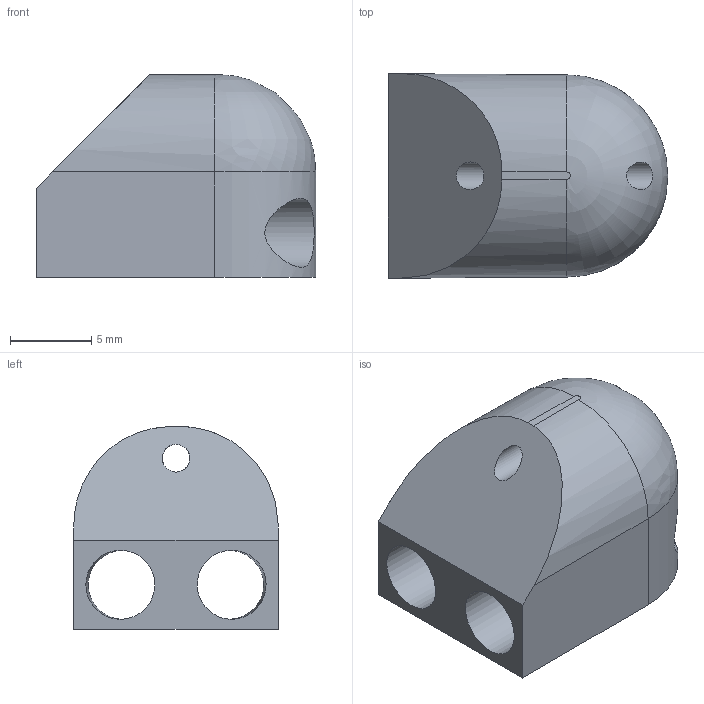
import cadquery as cq

length = 17.23
width = 12.6
height = 12.5

nose_start = 11.0
nose_radius = length - nose_start
top_round_radius = 6.0

rear_wall_height = 5.5

bore_diameter = 4.25
bore_height = 2.75
bore_rear_offset = 3.43
bore_front_offset = 3.25

pin_hole_diameter = 1.7
pin_hole_height = 10.55

overrun = 1.0


def make_body():
    """Block with a round nose and large fillets along its top edge."""
    plan = (
        cq.Workplane("XY")
        .moveTo(0, -width / 2)
        .lineTo(nose_start, -nose_radius)
        .threePointArc((length, 0), (nose_start, nose_radius))
        .lineTo(0, width / 2)
        .close()
    )
    block = plan.extrude(height)
    return block.faces(">Z").edges("not(<X)").fillet(top_round_radius)


def make_rear_slope():
    """Wedge that takes off the upper rear corner at 45 degrees."""
    slope_run = height - rear_wall_height
    return (
        cq.Workplane("XZ")
        .moveTo(-overrun, rear_wall_height - overrun)
        .lineTo(slope_run + overrun, height + overrun)
        .lineTo(-overrun, height + overrun)
        .close()
        .extrude(width / 2 + overrun, both=True)
    )


def make_hole(diameter, z, y_rear, y_front):
    """Through hole at height z, from y_rear at x = 0 to y_front at x = length."""
    axis = cq.Vector(length, y_front - y_rear, 0)
    lead = axis.normalized() * overrun
    start = cq.Vector(0, y_rear, z) - lead
    return cq.Solid.makeCylinder(diameter / 2, axis.Length + 2 * overrun, start, axis)


result = make_body().cut(make_rear_slope())
for side in (-1, 1):
    bore = make_hole(bore_diameter, bore_height, side * bore_rear_offset, side * bore_front_offset)
    result = result.cut(bore)
result = result.cut(make_hole(pin_hole_diameter, pin_hole_height, 0, 0))